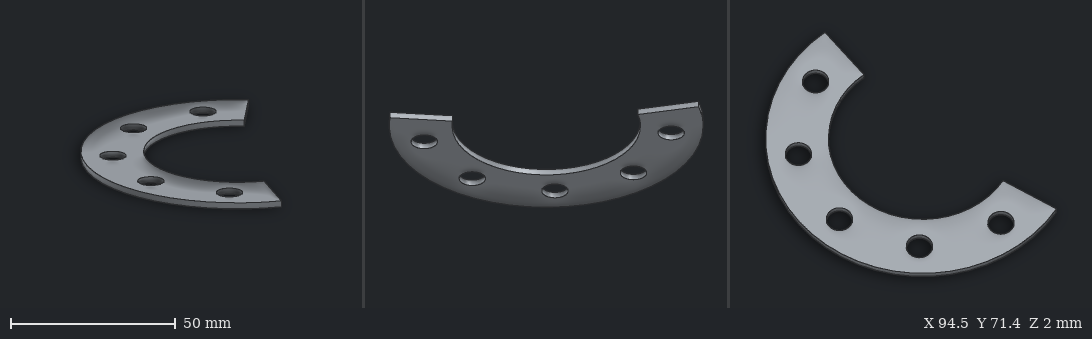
import cadquery as cq
import math

overall_width = 94.5
thickness = 2.0
inner_radius = 28.55
hole_diameter = 7.9
hole_count = 5

start_angle = 150.0
end_angle = 350.0

outer_radius = overall_width / (1 + math.cos(math.radians(end_angle)))
hole_circle_radius = (inner_radius + outer_radius) / 2
middle_angle = (start_angle + end_angle) / 2
hole_pitch = (end_angle - start_angle) / hole_count


def polar_point(radius, angle):
    """Point at a radius and an angle in degrees about the ring centre."""
    radians = math.radians(angle)
    return (radius * math.cos(radians), radius * math.sin(radians))


def ring_sector():
    """Flat ring segment with radial ends."""
    return (
        cq.Workplane("XY")
        .moveTo(*polar_point(outer_radius, start_angle))
        .threePointArc(polar_point(outer_radius, middle_angle), polar_point(outer_radius, end_angle))
        .lineTo(*polar_point(inner_radius, end_angle))
        .threePointArc(polar_point(inner_radius, middle_angle), polar_point(inner_radius, start_angle))
        .close()
        .extrude(thickness)
    )


def bolt_holes():
    """Through holes, each centred in an equal share of the sector."""
    centres = [
        polar_point(hole_circle_radius, start_angle + (index + 0.5) * hole_pitch)
        for index in range(hole_count)
    ]
    return cq.Workplane("XY").pushPoints(centres).circle(hole_diameter / 2).extrude(thickness)


result = ring_sector().cut(bolt_holes())